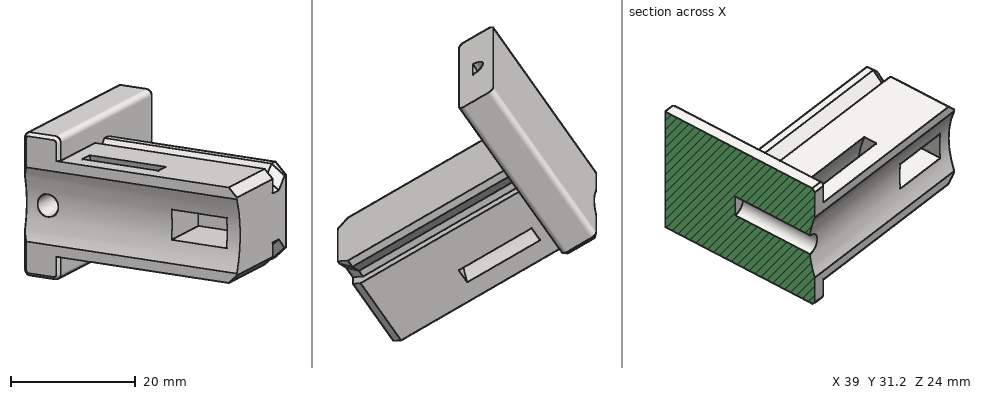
import cadquery as cq
import math

length = 39.0
depth = 31.2
height = 24.0

plate_thickness = 6.55
plate_fillet = 1.0
plate_chamfer = 0.55

arm_depth = 16.58
arm_height = 16.0
arm_half_height = arm_height / 2
tip_chamfer = 1.5

groove_start = 12.1
groove_floor_end = 13.3
groove_depth = 1.95
rail_tip_chamfer = 1.95

trough_width = 12.4
trough_depth = 1.15
trough_radius = ((trough_width / 2) ** 2 + trough_depth ** 2) / (2 * trough_depth)
trough_axis_y = trough_depth - trough_radius

strap_start = 9.13
strap_width = 13.9
strap_mouth_near = 3.0
strap_mouth_far = 5.55

hole_diameter = 3.8
hole_x = 3.9
full_hole_depth = arm_depth

pocket_start = 26.55
pocket_length = 10.05
pocket_height = 5.07
pocket_depth = 10.0


def box(x, y, z):
    """Box from X = 0 and Y = 0, centred on Z = 0."""
    return cq.Workplane("XY").box(x, y, z, centered=(False, False, True))


def x_cylinder(radius, start, span):
    """Cylinder parallel to X on the trough axis."""
    return cq.Workplane("YZ", origin=(start, trough_axis_y, 0)).circle(radius).extrude(span)


def y_cylinder(span):
    """Pin hole cylinder, starting at the -Y face."""
    return cq.Workplane("XZ", origin=(hole_x, 0, 0)).circle(hole_diameter / 2).extrude(-span)


def make_plate():
    plate = box(plate_thickness, depth, height)
    plate = plate.edges("|Y").fillet(plate_fillet)
    return plate.faces("<Y").edges().chamfer(plate_chamfer)


def groove_points(offset):
    """Upper groove profile in YZ, with floor, flank and land moved inwards by offset."""
    shift = offset * math.tan(math.radians(45 / 2))
    land = arm_half_height - offset
    floor = land - groove_depth
    flank_start = groove_floor_end + shift
    above = arm_half_height + 0.4
    past_arm = arm_depth + 0.4
    return [
        (groove_start, floor),
        (flank_start, floor),
        (flank_start + groove_depth, land),
        (past_arm, land),
        (past_arm, above),
        (groove_start, above),
    ]


def make_groove():
    """Upper groove, deepening at 45 degrees over the tip of the arm."""
    tip_start = length - rail_tip_chamfer
    straight = (
        cq.Workplane("YZ", origin=(plate_thickness, 0, 0))
        .polyline(groove_points(0)).close()
        .extrude(tip_start - plate_thickness)
    )
    tip = (
        cq.Workplane("YZ", origin=(tip_start, 0, 0))
        .polyline(groove_points(0)).close()
        .workplane(offset=rail_tip_chamfer)
        .polyline(groove_points(rail_tip_chamfer)).close()
        .loft(ruled=True)
    )
    return straight.union(tip)


def make_arm():
    arm = box(length, arm_depth, arm_height)
    arm_start = plate_thickness - plate_chamfer
    arm = arm.intersect(box(length - arm_start, depth, height).translate((arm_start, 0, 0)))
    arm = arm.faces(">X").edges("|Y").chamfer(tip_chamfer)
    groove = make_groove()
    return arm.cut(groove).cut(groove.mirror("XY"))


def make_strap_slot():
    inner_radius = math.hypot(arm_half_height, strap_mouth_near - trough_axis_y)
    outer_radius = math.hypot(arm_half_height, strap_mouth_far - trough_axis_y)
    outer = x_cylinder(outer_radius, strap_start, strap_width)
    return outer.cut(x_cylinder(inner_radius, strap_start, strap_width))


def make_pin_hole():
    rear_half = y_cylinder(depth).intersect(box(hole_x, depth, height))
    return y_cylinder(full_hole_depth).union(rear_half)


pocket = box(pocket_length, pocket_depth, pocket_height).translate((pocket_start, 0, 0))

result = (
    make_plate()
    .union(make_arm())
    .cut(x_cylinder(trough_radius, 0, length))
    .cut(make_strap_slot())
    .cut(make_pin_hole())
    .cut(pocket)
)